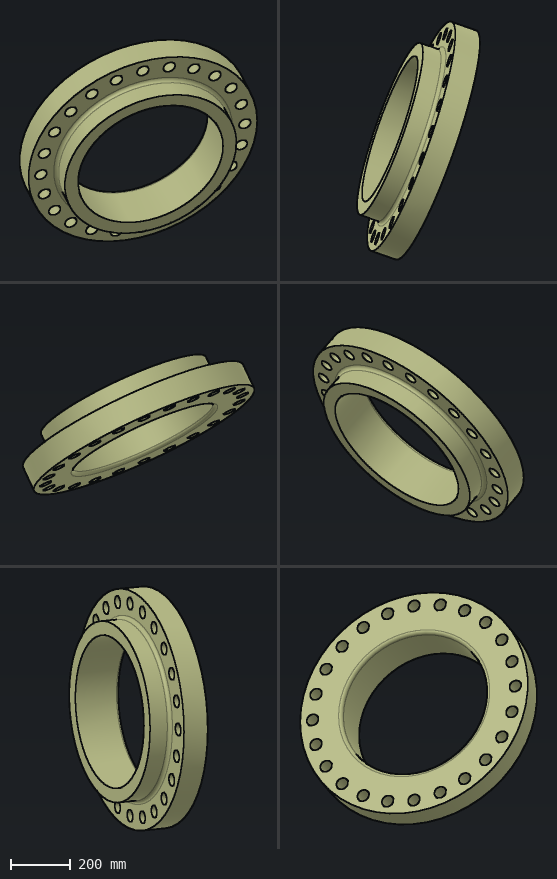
import cadquery as cq

INCH = 25.4

flange_diameter = 32 * INCH
flange_thickness = 3.5 * INCH

overall_length = 6.5 * INCH
hub_diameter = 24 * INCH
hub_root_fillet = 0.5 * INCH

bore_diameter = 20.25 * INCH
bore_entry_radius = 0.5 * INCH

bolt_hole_count = 24
bolt_hole_diameter = 1.625 * INCH
bolt_circle_diameter = 28.5 * INCH


def make_body():
    """Revolve the half section of ring and hub around the X axis; the front face is at X = 0."""
    flange_radius = flange_diameter / 2
    hub_radius = hub_diameter / 2
    bore_radius = bore_diameter / 2
    section = (
        cq.Workplane("XY")
        .moveTo(0, bore_radius + bore_entry_radius)
        .lineTo(0, flange_radius)
        .lineTo(flange_thickness, flange_radius)
        .lineTo(flange_thickness, hub_radius + hub_root_fillet)
        .radiusArc((flange_thickness + hub_root_fillet, hub_radius), -hub_root_fillet)
        .lineTo(overall_length, hub_radius)
        .lineTo(overall_length, bore_radius)
        .lineTo(bore_entry_radius, bore_radius)
        .radiusArc((0, bore_radius + bore_entry_radius), bore_entry_radius)
        .close()
    )
    return section.revolve(360, (0, 0, 0), (1, 0, 0))


def make_bolt_holes():
    """Cylinders through the flange ring, evenly spaced with one at the top."""
    return (
        cq.Workplane("YZ")
        .polarArray(bolt_circle_diameter / 2, 0, 360, bolt_hole_count)
        .circle(bolt_hole_diameter / 2)
        .extrude(flange_thickness)
    )


result = make_body().cut(make_bolt_holes())